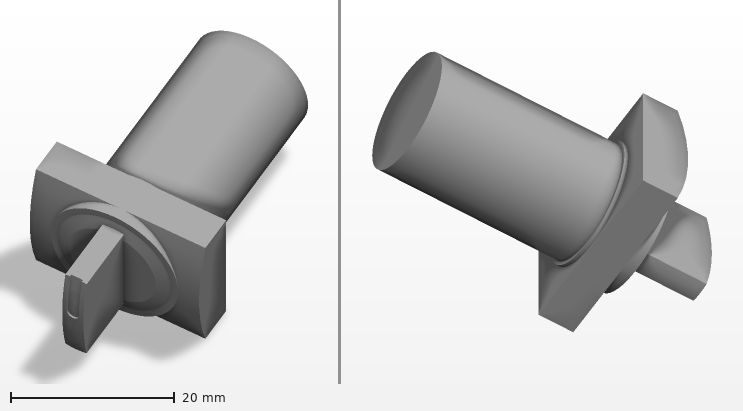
import cadquery as cq


body_radius = 8.0
body_end = 26.5
flange_radius = 8.5
flange_thickness = 0.5

plate_width = 24.0
plate_height = 18.0
gasket_thickness = 1.0
plate_edge_depth = 5.0
plate_crest_depth = 6.5

bezel_radius = plate_height / 2
cone_base_radius = body_radius
cone_top_radius = 6.15
cone_top_depth = 7.0

knob_radius = 7.0
knob_width = 3.0
knob_tip_depth = 16.5
dome_height = 0.77

groove_width = 1.68
groove_depth = 0.25
groove_end_z = 0.1


def disc(radius, start_y, end_y):
    """Cylinder on the Y axis from start_y to end_y, with start_y below end_y."""
    return cq.Workplane("XZ", origin=(0, end_y, 0)).circle(radius).extrude(end_y - start_y)


def make_gasket():
    return cq.Workplane("XZ").rect(plate_width, plate_height).extrude(gasket_thickness)


def make_cover():
    half_height = plate_height / 2
    profile = (
        cq.Workplane("YZ", origin=(-plate_width / 2, 0, 0))
        .moveTo(-gasket_thickness, -half_height)
        .lineTo(-plate_edge_depth, -half_height)
        .threePointArc((-plate_crest_depth, 0), (-plate_edge_depth, half_height))
        .lineTo(-gasket_thickness, half_height)
        .close()
    )
    return profile.extrude(plate_width)


def make_bezel():
    """Cylinder flush with the plate crest, carrying a truncated cone."""
    return (
        cq.Workplane("XY")
        .moveTo(0, -gasket_thickness)
        .lineTo(bezel_radius, -gasket_thickness)
        .lineTo(bezel_radius, -plate_crest_depth)
        .lineTo(cone_base_radius, -plate_crest_depth)
        .lineTo(cone_top_radius, -cone_top_depth)
        .lineTo(0, -cone_top_depth)
        .close()
        .revolve(360, (0, 0, 0), (0, 1, 0))
    )


def domed_cylinder(tip_depth):
    """Cylinder of the knob radius whose spherical front reaches tip_depth."""
    sphere_radius = (knob_radius**2 + dome_height**2) / (2 * dome_height)
    mid_radius = knob_radius / 2
    mid_depth = tip_depth - sphere_radius + (sphere_radius**2 - mid_radius**2) ** 0.5
    return (
        cq.Workplane("XY")
        .moveTo(0, -plate_crest_depth)
        .lineTo(knob_radius, -plate_crest_depth)
        .lineTo(knob_radius, -(tip_depth - dome_height))
        .threePointArc((mid_radius, -mid_depth), (0, -tip_depth))
        .close()
        .revolve(360, (0, 0, 0), (0, 1, 0))
    )


def make_groove():
    """Round-ended slot, open at the top, with a floor parallel to the dome."""
    half_width = groove_width / 2
    arc_center_z = groove_end_z + half_width
    floor_edge_depth = knob_tip_depth - dome_height - groove_depth
    slot = (
        cq.Workplane("XZ", origin=(0, -floor_edge_depth, 0))
        .moveTo(-half_width, plate_height)
        .lineTo(-half_width, arc_center_z)
        .threePointArc((0, groove_end_z), (half_width, arc_center_z))
        .lineTo(half_width, plate_height)
        .close()
        .extrude(knob_tip_depth - floor_edge_depth)
    )
    return slot.cut(domed_cylinder(knob_tip_depth - groove_depth))


def make_knob():
    blade = cq.Workplane("XZ").rect(knob_width, plate_height).extrude(knob_tip_depth)
    return domed_cylinder(knob_tip_depth).intersect(blade).cut(make_groove())


body = disc(body_radius, 0, body_end)
flange = disc(flange_radius, 0, flange_thickness)

result = make_gasket().union(make_cover(), clean=False)
for piece in (flange, body, make_bezel(), make_knob()):
    result = result.union(piece, clean=False)